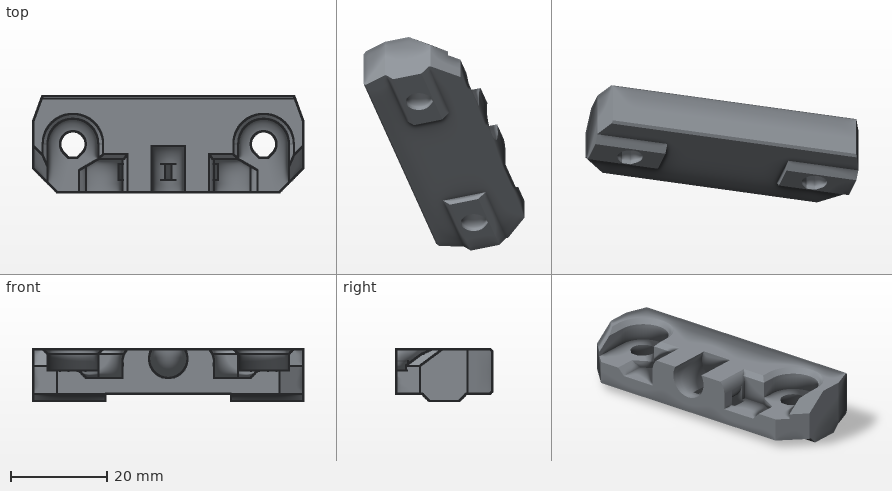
import cadquery as cq
import math

length = 56.0
width = 20.0
body_height = 9.3
rear_corner_x = 1.9
rear_corner_y = 5.2
front_corner = 5.0
rear_edge_chamfer = 0.5

facet_drop = 3.5
facet_run = 3.3

rail_depth = 1.5
rail_length = 15.0
rail_top_width = 9.2

screw_spacing = 39.55
screw_hole_radius = 2.65
screw_hole_flat = 2.8
seat_radius = 5.25
seat_depth = 4.5
rim_chamfer = 1.0

pocket_depth = 6.0
pocket_inner_x = 9.45
pocket_floor_outer_x = 17.0
pocket_length = 6.9
pocket_cut_angle = 30.0

groove_radius = 4.0
groove_length = 9.65

loop_radius = 3.5
loop_depth = 2.45
tie_thickness = 2.1
tie_width = 3.35
tie_front_offset = 2.5

half_length = length / 2
front_y = -width / 2
rear_y = width / 2
screw_x = screw_spacing / 2
seat_floor_z = body_height - seat_depth
pocket_floor_z = body_height - pocket_depth
loop_centre_z = body_height - loop_depth
loop_end_x = pocket_inner_x - loop_radius
pocket_rear_y = front_y + pocket_length


def prism_along_y(points, start_y, end_y):
    """Extrude an XZ outline from start_y to end_y."""
    outline = cq.Workplane("XZ", origin=(0, start_y, 0)).polyline(points).close()
    return outline.extrude(start_y - end_y)


def both_sides(left_half):
    """Join a left-hand solid with its mirror image on the right."""
    return left_half.union(left_half.mirror("YZ"))


def make_body():
    outline = [
        (-half_length + front_corner, front_y),
        (half_length - front_corner, front_y),
        (half_length, front_y + front_corner),
        (half_length, rear_y - rear_corner_y),
        (half_length - rear_corner_x, rear_y),
        (-half_length + rear_corner_x, rear_y),
        (-half_length, rear_y - rear_corner_y),
        (-half_length, front_y + front_corner),
    ]
    block = cq.Workplane("XY").polyline(outline).close().extrude(body_height)
    return block.faces(">Y").edges("|X").chamfer(rear_edge_chamfer)


def make_left_rail():
    half_top = rail_top_width / 2
    half_bottom = half_top - rail_depth
    section = [(-half_top, 0), (half_top, 0), (half_bottom, -rail_depth), (-half_bottom, -rail_depth)]
    plane = cq.Workplane("YZ", origin=(-half_length, 0, 0))
    return plane.polyline(section).close().extrude(rail_length)


def make_left_corner_facet():
    """Wedge that slopes the top down to the 45-degree front corner face."""
    corner_start = (-half_length, front_y + front_corner, body_height)
    outward = cq.Vector(-1, -1, 0)
    along = cq.Vector(-1, 1, 0)
    plane = cq.Plane(origin=corner_start, xDir=outward, normal=along)
    section = [(-facet_run, 0), (0, 0), (0, -facet_drop)]
    wedge = cq.Workplane(plane).polyline(section).close()
    return wedge.extrude(length / 2, both=True)


def make_screw_hole():
    """Through hole with 45-degree flanks and a flat on its front side."""
    tangent = screw_hole_radius / math.sqrt(2)
    flat_half = screw_hole_radius * math.sqrt(2) - screw_hole_flat
    return (
        cq.Workplane("XY", origin=(0, 0, -rail_depth))
        .moveTo(-flat_half, -screw_hole_flat)
        .lineTo(-tangent, -tangent)
        .threePointArc((0, screw_hole_radius), (tangent, -tangent))
        .lineTo(flat_half, -screw_hole_flat)
        .close()
        .extrude(body_height + rail_depth)
    )


def make_left_seat():
    """Round-ended slot with a chamfered rim, plus the through hole."""
    rim_radius = seat_radius + rim_chamfer
    rim_z = body_height - rim_chamfer
    half_section = [
        (0, seat_floor_z),
        (seat_radius, seat_floor_z),
        (seat_radius, rim_z),
        (rim_radius, body_height),
        (0, body_height),
    ]
    round_end = cq.Workplane("XZ").polyline(half_section).close().revolve(360, (0, 0, 0), (0, 1, 0))
    right_half = prism_along_y(half_section, front_y, 0)
    return round_end.union(both_sides(right_half)).union(make_screw_hole()).translate((-screw_x, 0, 0))


def make_left_pocket():
    """Pocket with a 45-degree outer wall, chamfered rear rim and rounded inner lip."""
    step_height = seat_floor_z - pocket_floor_z
    outer_x = -pocket_floor_outer_x - step_height
    seat_wall_x = -screw_x + seat_radius

    lip_angle = math.asin(loop_depth / loop_radius)

    def lip_point(angle):
        x = -loop_end_x - loop_radius * math.cos(angle)
        z = loop_centre_z + loop_radius * math.sin(angle)
        return x, z

    front_section = (
        cq.Workplane("XZ", origin=(0, front_y, 0))
        .moveTo(outer_x, body_height)
        .lineTo(outer_x, seat_floor_z)
        .lineTo(-pocket_floor_outer_x, pocket_floor_z)
        .lineTo(-pocket_inner_x, pocket_floor_z)
        .lineTo(-pocket_inner_x, loop_centre_z)
        .threePointArc(lip_point(lip_angle / 2), lip_point(lip_angle))
        .close()
        .extrude(-width)
    )

    side_section = [
        (front_y, pocket_floor_z),
        (pocket_rear_y, pocket_floor_z),
        (pocket_rear_y, body_height - rim_chamfer),
        (pocket_rear_y + rim_chamfer, body_height),
        (front_y, body_height),
    ]
    side_prism = cq.Workplane("YZ").polyline(side_section).close().extrude(-half_length)

    cut_drop = (seat_wall_x - outer_x) * math.tan(math.radians(pocket_cut_angle))
    plan = [
        (0, front_y),
        (0, rear_y),
        (seat_wall_x, rear_y),
        (seat_wall_x, pocket_rear_y),
        (outer_x, pocket_rear_y - cut_drop),
        (outer_x, front_y),
    ]
    plan_prism = cq.Workplane("XY").polyline(plan).close().extrude(body_height)
    return front_section.intersect(side_prism).intersect(plan_prism)


def make_groove():
    centre_z = pocket_floor_z + groove_radius
    plane = cq.Workplane("XZ", origin=(0, front_y, 0))
    return plane.center(0, centre_z).circle(groove_radius).extrude(-groove_length)


def make_tie_channel():
    """Cable-tie loop around the central block, entering the floor of each pocket."""
    plane = cq.Workplane("XZ", origin=(0, front_y + tie_front_offset, loop_centre_z))

    def stadium(radius):
        return plane.slot2D(2 * (loop_end_x + radius), 2 * radius).extrude(-tie_width)

    return stadium(loop_radius + tie_thickness).cut(stadium(loop_radius))


result = make_body().union(both_sides(make_left_rail()))
result = result.cut(both_sides(make_left_corner_facet()))
result = result.cut(both_sides(make_left_seat()))
result = result.cut(both_sides(make_left_pocket()))
result = result.cut(make_groove())
result = result.cut(make_tie_channel())